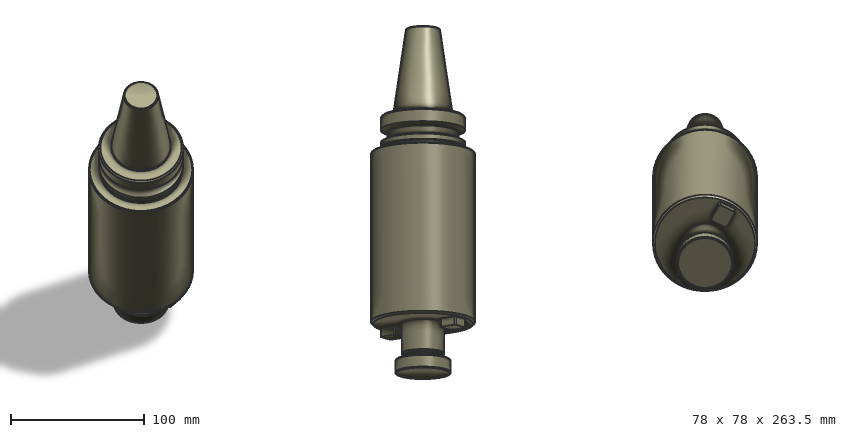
import cadquery as cq

total_height = 263.5

head_radius = 20.8
head_height = 10.3
head_chamfer = 0.8
screw_radius = 8.5

pilot_radius = 16.0
pilot_bottom = 14.2
pilot_chamfer = 1.0
body_radius = 39.0
body_bottom = 38.0
body_top = 168.5
body_bottom_chamfer = 1.5
body_top_chamfer = 0.8

flange_radius = 31.5
flange_bottom = 172.0
flange_bottom_bevel = 0.8
flange_top = 196.5
flange_chamfer = 1.3
relief_radius = 31.0
groove_radius = 26.5
groove_bottom = 178.8
groove_top = 183.9
groove_slope_height = 2.5

taper_small_radius = 13.0
taper_large_radius = 22.5
taper_undercut_radius = 21.9
taper_bottom = 198.0
taper_chamfer = 0.8

key_inner = 21.0
key_outer = 35.3
key_width = 13.5
key_height = 6.3
key_chamfer = 1.0


def make_turned_body():
    """Revolve the half profile, listed as (radius, height), about Z."""
    profile = [
        (0, 0),
        (head_radius - head_chamfer, 0),
        (head_radius, head_chamfer),
        (head_radius, head_height - head_chamfer),
        (head_radius - head_chamfer, head_height),
        (screw_radius, head_height),
        (screw_radius, pilot_bottom),
        (pilot_radius - pilot_chamfer, pilot_bottom),
        (pilot_radius, pilot_bottom + pilot_chamfer),
        (pilot_radius, body_bottom),
        (body_radius - body_bottom_chamfer, body_bottom),
        (body_radius, body_bottom + body_bottom_chamfer),
        (body_radius, body_top - body_top_chamfer),
        (body_radius - body_top_chamfer, body_top),
        (relief_radius, body_top),
        (relief_radius, flange_bottom),
        (flange_radius, flange_bottom + flange_bottom_bevel),
        (flange_radius, groove_bottom - groove_slope_height),
        (groove_radius, groove_bottom),
        (groove_radius, groove_top),
        (flange_radius, groove_top + groove_slope_height),
        (flange_radius, flange_top - flange_chamfer),
        (flange_radius - flange_chamfer, flange_top),
        (taper_undercut_radius, flange_top),
        (taper_undercut_radius, taper_bottom),
        (taper_large_radius, taper_bottom),
        (taper_small_radius, total_height - taper_chamfer),
        (taper_small_radius - taper_chamfer, total_height),
        (0, total_height),
    ]
    return cq.Workplane("XZ").polyline(profile).close().revolve(360, (0, 0), (0, 1))


def make_drive_keys():
    """Two keys with chamfered upright edges under the body, on opposite sides along X."""
    key_center = (key_inner + key_outer) / 2
    return (
        cq.Workplane("XY", origin=(0, 0, body_bottom))
        .pushPoints([(-key_center, 0), (key_center, 0)])
        .rect(key_outer - key_inner, key_width)
        .extrude(-key_height)
        .edges("|Z")
        .chamfer(key_chamfer)
    )


result = make_turned_body().union(make_drive_keys())